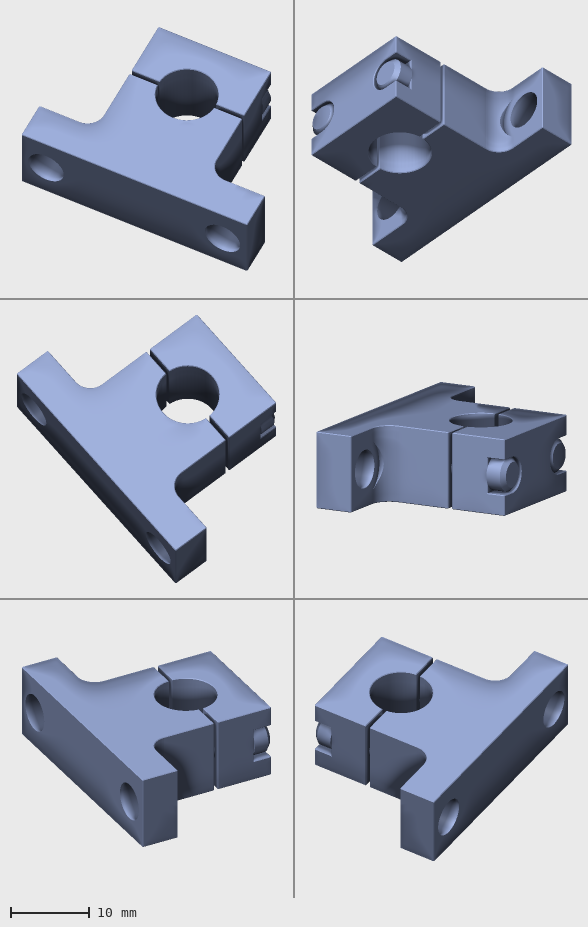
import cadquery as cq

foot_length = 32.0
clamp_height = 23.0
thickness = 10.0
foot_height = 5.12
neck_width = foot_length / 2
corner_radius = 2.37
edge_chamfer = 0.1

bore_diameter = 8.0
bore_height = 15.0
split_gap = 0.55
base_height = bore_height - split_gap / 2
cap_bottom = bore_height + split_gap / 2

mount_offset = 12.5
mount_diameter = 5.0
spot_diameter = 7.55

screw_offset = 6.0
shank_diameter = 2.5
head_diameter = 4.48
head_height = 2.53
head_chamfer = 0.58
head_seat = clamp_height - head_height
head_slot_width = 4.6


def along_y(diameter, x, y_start, y_end):
    """Cylinder parallel to Y, centred on Z = 0."""
    plane = cq.Plane(origin=(x, y_start, 0), xDir=(1, 0, 0), normal=(0, 1, 0))
    return cq.Workplane(plane).circle(diameter / 2).extrude(y_end - y_start)


def shaft_bore():
    return (
        cq.Workplane("XY")
        .center(0, bore_height)
        .circle(bore_diameter / 2)
        .extrude(thickness / 2, both=True)
    )


def make_base():
    half_foot = foot_length / 2
    half_neck = neck_width / 2
    fillet_top = foot_height + corner_radius
    base = (
        cq.Workplane("XY")
        .moveTo(-half_foot, 0)
        .lineTo(half_foot, 0)
        .lineTo(half_foot, foot_height)
        .lineTo(half_neck + corner_radius, foot_height)
        .radiusArc((half_neck, fillet_top), corner_radius)
        .lineTo(half_neck, base_height)
        .lineTo(-half_neck, base_height)
        .lineTo(-half_neck, fillet_top)
        .radiusArc((-half_neck - corner_radius, foot_height), corner_radius)
        .lineTo(-half_foot, foot_height)
        .close()
        .extrude(thickness / 2, both=True)
    )
    base = base.edges("|Z").edges("<X or >X or <Y or >Y").chamfer(edge_chamfer)
    base = base.cut(shaft_bore()).faces("<Z or >Z").edges().chamfer(edge_chamfer)
    for side in (-1, 1):
        base = base.cut(along_y(mount_diameter, side * mount_offset, 0, foot_height))
        base = base.cut(along_y(spot_diameter, side * mount_offset, foot_height, base_height))
        base = base.cut(along_y(shank_diameter, side * screw_offset, 0, base_height))
    return base


def head_slot(side):
    """Round-ended recess for a screw head, open at the cap's top and outer side."""
    slot_end = neck_width / 2
    open_part = (
        cq.Workplane("XY")
        .box(slot_end - screw_offset, head_height, head_slot_width, centered=(False, False, True))
        .translate((screw_offset, head_seat, 0))
    )
    slot = open_part.union(along_y(head_slot_width, screw_offset, head_seat, clamp_height))
    return slot if side > 0 else slot.mirror("YZ")


def make_cap():
    cap = (
        cq.Workplane("XY")
        .box(neck_width, clamp_height - cap_bottom, thickness, centered=(True, False, True))
        .translate((0, cap_bottom, 0))
        .cut(shaft_bore())
    )
    for side in (-1, 1):
        cap = cap.cut(head_slot(side))
    cap = cap.faces("<X or >X or <Z or >Z or >Y").edges().chamfer(edge_chamfer)
    for side in (-1, 1):
        cap = cap.cut(along_y(shank_diameter, side * screw_offset, cap_bottom, head_seat))
    return cap


def make_screw(side):
    x = side * screw_offset
    shank = along_y(shank_diameter, x, 0, head_seat)
    head = along_y(head_diameter, x, head_seat, clamp_height).faces(">Y").chamfer(head_chamfer)
    return shank.union(head)


base = make_base()
cap = make_cap()
screws = [make_screw(side).val() for side in (-1, 1)]

result = cq.Compound.makeCompound([base.val(), cap.val(), *screws])